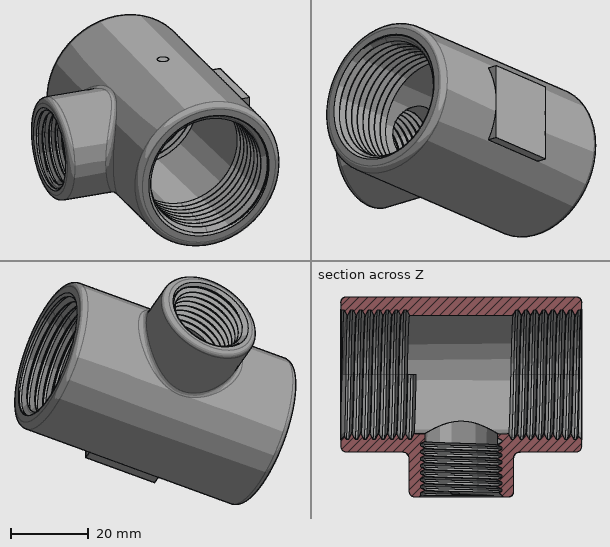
import cadquery as cq
import math

body_length = 62.0
body_diameter = 40.0
body_bore = 30.3
body_radius = body_diameter / 2
body_mouth = 33.5
body_thread_depth = 1.4
body_pitch = 2.3
body_thread_length = 18.6

branch_diameter = 27.0
branch_bore = 18.6
overall_depth = 51.5
branch_reach = overall_depth - body_radius
branch_mouth = 21.7
branch_thread_depth = 1.1
branch_pitch = 1.8
branch_thread_length = 14.4

rim_fillet = 1.5
junction_fillet = 1.5
thread_half_angle = 27.5
thread_overlap = 0.05
crest_share = 0.08
pad_size = 19.85
pad_thickness = 3.1
gate_diameter = 3.0
gate_height = 1.85


def tube(diameter, length, plane):
    """Solid cylinder from the origin of a plane along its normal."""
    return cq.Workplane(plane).circle(diameter / 2).extrude(length)


def mouth_chamfer(mouth, bore):
    """45 degree cone at Z = 0 narrowing upward from the mouth to the bore."""
    height = (mouth - bore) / 2
    return cq.Workplane("XY").circle(mouth / 2).workplane(offset=height).circle(bore / 2).loft()


def helix_piece(radius, pitch, start, piece):
    """One half turn of a helix about Z, the given number of half turns after its start height."""
    half_turn = cq.Wire.makeHelix(pitch, pitch / 2, radius)
    turned = half_turn.rotate(cq.Vector(0, 0, 0), cq.Vector(0, 0, 1), 180 * piece)
    return turned.translate(cq.Vector(0, 0, start + piece * pitch / 2))


def thread_cutter(bore, depth, pitch, length):
    """Helical V groove with a flat root, starting one pitch below Z = 0."""
    slope = math.tan(math.radians(thread_half_angle))
    mouth_half_width = (1 - crest_share) * pitch / 2
    root_half_width = mouth_half_width - depth * slope
    inner_half_width = mouth_half_width + thread_overlap * slope
    inner_radius = bore / 2 - thread_overlap
    root_radius = bore / 2 + depth
    corners = [
        (inner_radius, -inner_half_width),
        (root_radius, -root_half_width),
        (root_radius, root_half_width),
        (inner_radius, inner_half_width),
    ]
    pieces = 2 * round(length / pitch + 1)
    faces = []
    for piece in range(pieces):
        helices = [helix_piece(radius, pitch, height - pitch, piece) for radius, height in corners]
        for index, helix in enumerate(helices):
            next_helix = helices[(index + 1) % len(helices)]
            faces += cq.Face.makeRuledSurface(helix, next_helix).Faces()
        if piece == 0:
            faces.append(end_cap(helices, 0))
        if piece == pieces - 1:
            faces.append(end_cap(helices, 1))
    return cq.Workplane(obj=cq.Solid.makeSolid(cq.Shell.makeShell(faces)))


def end_cap(helices, position):
    """Flat face through the starts (0) or the ends (1) of the helices."""
    points = [helix.positionAt(position) for helix in helices]
    return cq.Face.makeFromWires(cq.Wire.makePolygon(points, close=True))


def socket_cutters(bore, mouth, depth, pitch, length):
    """Mouth chamfer and thread groove for a socket entered upward from Z = 0."""
    return [mouth_chamfer(mouth, bore), thread_cutter(bore, depth, pitch, length)]


body = tube(body_diameter, body_length, "YZ").translate((-body_length / 2, 0, 0))
body = body.faces("<X or >X").edges().fillet(rim_fillet)
branch = tube(branch_diameter, branch_reach, "XZ")
branch = branch.faces("<Y").edges().fillet(rim_fillet)
result = body.union(branch)
junction = cq.selectors.BoxSelector(
    (-branch_diameter, -body_radius - junction_fillet, -branch_diameter),
    (branch_diameter, -body_radius / 2, branch_diameter),
    boundingbox=True,
)
result = result.edges(junction).fillet(junction_fillet)

pad = cq.Workplane("XY").box(pad_size, pad_thickness, pad_size)
result = result.union(pad.translate((0, body_radius - pad_thickness / 2, 0)))

gate = tube(gate_diameter, gate_height, "XY")
result = result.union(gate.translate((0, 0, body_radius - gate_height)))

result = result.cut(tube(body_bore, body_length, "YZ").translate((-body_length / 2, 0, 0)))
result = result.cut(tube(branch_bore, branch_reach, "XZ"))

for turn in (90, -90):
    for cutter in socket_cutters(body_bore, body_mouth, body_thread_depth, body_pitch, body_thread_length):
        placed = cutter.translate((0, 0, -body_length / 2)).rotate((0, 0, 0), (0, 1, 0), turn)
        result = result.cut(placed, clean=False)

for cutter in socket_cutters(
    branch_bore, branch_mouth, branch_thread_depth, branch_pitch, branch_thread_length
):
    placed = cutter.translate((0, 0, -branch_reach)).rotate((0, 0, 0), (1, 0, 0), -90)
    result = result.cut(placed, clean=False)